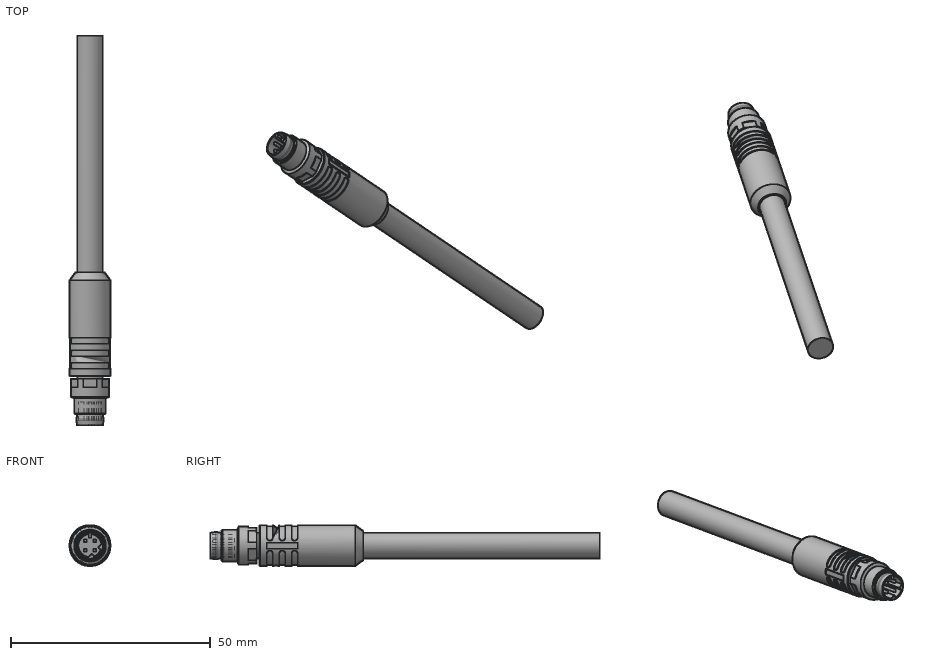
import cadquery as cq
import math

LENGTH = 97.55
FACE_Y = -LENGTH / 2


CABLE_DIAMETER = 6.5
BODY_DIAMETER = 10.3
BODY_START = 12.3
BODY_EDGE_CHAMFER = 0.2
CONE_START = 36.3
CONE_END = 38.35
CONE_END_DIAMETER = 7.3

NECK_DIAMETER = 6.5
COLLAR_DIAMETER = 9.6
COLLAR_CONE_START = 6.8
COLLAR_CONE_END = 7.15
COLLAR_END = 11.65
FLAT_COUNT = 6
FLAT_START = 9.6
FLATS_ACROSS = 9.0

SLEEVE_DIAMETER = 8.0
SLEEVE_START = 2.8
SLEEVE_CHAMFER = 0.3
LIP_DIAMETER = 6.9
LIP_START = 1.3
LIP_END = 1.7
TIP_DIAMETER = 6.5
WAIST_DIAMETER = 6.5

BORE_DIAMETER = 5.8
BORE_DEPTH = 6.0
KEY_WIDTH = 0.7
KEY_TIP_RADIUS = 2.0
CODING_FLAT_ANGLE = -45
CODING_FLAT_DISTANCE = 1.75
KEYWAY_WIDTH = 2.3
PIN_DIAMETER = 0.8
PIN_SPACING = 2.36
PIN_RECESS = 0.5

GRIP_START = 14.2
GRIP_GROOVE_COUNT = 3
GRIP_GROOVE_WIDTH = 1.5
GRIP_PITCH = 3.1
GRIP_DEPTH = 0.25
GRIP_GROOVE_END = 1.25
SLOT_WIDTH = 1.45


def along_axis(distance):
    """Y coordinate of a point the given distance behind the plug face."""
    return FACE_Y + distance


def profile_points(stations):
    """Points in the XY plane for (radius, distance behind the plug face) pairs."""
    return [(radius, along_axis(distance)) for radius, distance in stations]


def turned_profile():
    """Solid of revolution holding every round stretch from plug tip to cable end."""
    lip = LIP_DIAMETER / 2
    tip = TIP_DIAMETER / 2
    waist = WAIST_DIAMETER / 2
    sleeve = SLEEVE_DIAMETER / 2
    collar = COLLAR_DIAMETER / 2
    neck = NECK_DIAMETER / 2
    body = BODY_DIAMETER / 2
    cable = CABLE_DIAMETER / 2

    waist_length = SLEEVE_START - LIP_END
    waist_drop = lip - waist
    waist_radius = (waist_length**2 + waist_drop**2) / (2 * waist_drop)
    half_length = waist_length / 2
    waist_middle = waist + waist_radius - math.sqrt(waist_radius**2 - half_length**2)

    plug_tip = [(0, 0), (tip, 0), (lip, LIP_START), (lip, LIP_END)]
    waist_arc = [(waist_middle, LIP_END + half_length), (waist, SLEEVE_START)]
    rear = [
        (sleeve - SLEEVE_CHAMFER, SLEEVE_START),
        (sleeve, SLEEVE_START + SLEEVE_CHAMFER),
        (sleeve, COLLAR_CONE_START),
        (collar, COLLAR_CONE_END),
        (collar, COLLAR_END),
        (neck, COLLAR_END),
        (neck, BODY_START),
        (body - BODY_EDGE_CHAMFER, BODY_START),
        (body, BODY_START + BODY_EDGE_CHAMFER),
        (body, CONE_START),
        (CONE_END_DIAMETER / 2, CONE_END),
        (cable, CONE_END),
        (cable, LENGTH),
        (0, LENGTH),
    ]
    outline = cq.Workplane("XY").polyline(profile_points(plug_tip))
    outline = outline.threePointArc(*profile_points(waist_arc))
    outline = outline.polyline(profile_points(rear), includeCurrent=True).close()
    return outline.revolve(360, (0, 0, 0), (0, 1, 0))


def cylinder(diameter, start, end):
    """Cylinder on the connector axis between two distances behind the plug face."""
    plane = cq.Workplane("XZ", origin=(0, along_axis(start), 0))
    return plane.circle(diameter / 2).extrude(start - end)


def collar_flats():
    """Ring-shaped cutter that leaves the flats on the rear of the collar."""
    hexagon_diameter = FLATS_ACROSS / math.cos(math.pi / FLAT_COUNT)
    hexagon = (
        cq.Workplane("XZ", origin=(0, along_axis(FLAT_START), 0))
        .polygon(FLAT_COUNT, hexagon_diameter)
        .extrude(FLAT_START - COLLAR_END)
    )
    return cylinder(BODY_DIAMETER, FLAT_START, COLLAR_END).cut(hexagon)


def coding_key():
    """Radial rib on the +Z side of the bore."""
    rib = cq.Workplane("XY").box(KEY_WIDTH, BORE_DEPTH, BORE_DIAMETER, centered=(True, False, False))
    return rib.translate((0, FACE_Y, KEY_TIP_RADIUS))


def coding_flat():
    """Chordal flat across the +X, -Z side of the bore, split in the middle by a keyway."""
    block = cq.Workplane("XY").box(
        BORE_DIAMETER, BORE_DEPTH, BORE_DIAMETER, centered=(False, False, True)
    )
    keyway = cq.Workplane("XY").box(
        BORE_DIAMETER, BORE_DEPTH, KEYWAY_WIDTH, centered=(False, False, True)
    )
    flat = block.cut(keyway).translate((CODING_FLAT_DISTANCE, FACE_Y, 0))
    return flat.rotate((0, 0, 0), (0, 1, 0), -CODING_FLAT_ANGLE)


def contact_pin():
    """Round pin with a hemispherical tip, standing on the connector axis at the bore floor."""
    radius = PIN_DIAMETER / 2
    shaft_start = PIN_RECESS + radius
    shaft = cylinder(PIN_DIAMETER, shaft_start, BORE_DEPTH)
    tip = cq.Workplane("XY").sphere(radius).translate((0, along_axis(shaft_start), 0))
    return shaft.union(tip)


def socket():
    """Bore cutter with the coding key, coding flat and contact pins left standing."""
    bore = cylinder(BORE_DIAMETER, 0, BORE_DEPTH).cut(coding_key()).cut(coding_flat())
    for x in (-PIN_SPACING / 2, PIN_SPACING / 2):
        for z in (-PIN_SPACING / 2, PIN_SPACING / 2):
            bore = bore.cut(contact_pin().translate((x, 0, z)))
    return bore


def grip_groove(start):
    """Cutter for one pair of grip grooves, rounded where they stop beside the axial slots."""
    end = start + GRIP_GROOVE_WIDTH
    ring = cylinder(2 * BODY_DIAMETER, start, end).cut(
        cylinder(BODY_DIAMETER - 2 * GRIP_DEPTH, start, end)
    )
    radius = GRIP_GROOVE_WIDTH / 2
    middle = along_axis(start + radius)
    straight = GRIP_GROOVE_END + radius
    outline = (
        cq.Workplane("YZ", origin=(-BODY_DIAMETER, 0, 0))
        .moveTo(middle - radius, straight)
        .threePointArc((middle, GRIP_GROOVE_END), (middle + radius, straight))
        .lineTo(middle + radius, BODY_DIAMETER)
        .lineTo(middle - radius, BODY_DIAMETER)
        .close()
        .extrude(2 * BODY_DIAMETER)
    )
    upper = ring.intersect(outline)
    return upper.union(upper.mirror("XY"))


def axial_slot(side):
    """Cutter for the flat-bottomed slot on the +X (side = 1) or -X (side = -1) flank."""
    slot_length = (GRIP_GROOVE_COUNT - 1) * GRIP_PITCH + GRIP_GROOVE_WIDTH
    slot_middle = along_axis(GRIP_START + slot_length / 2)
    slot = cq.Workplane("XY").box(2 * GRIP_DEPTH, slot_length, SLOT_WIDTH)
    return slot.translate((side * BODY_DIAMETER / 2, slot_middle, 0))


result = turned_profile().cut(collar_flats()).cut(socket())
for row in range(GRIP_GROOVE_COUNT):
    result = result.cut(grip_groove(GRIP_START + row * GRIP_PITCH))
for side in (-1, 1):
    result = result.cut(axial_slot(side))